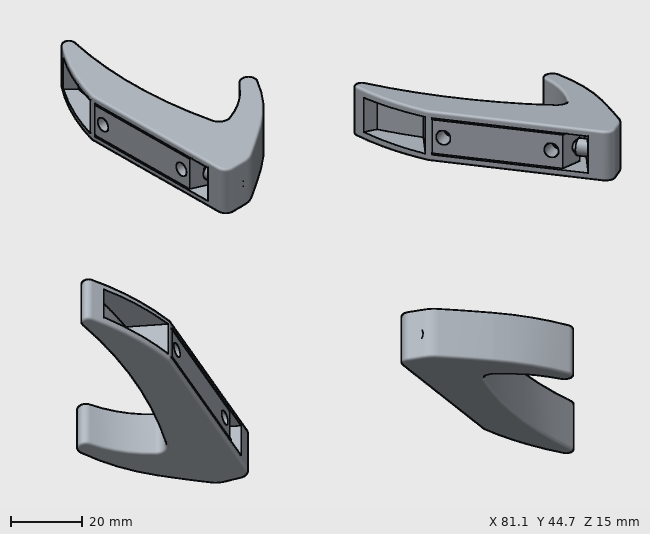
import cadquery as cq
import math


thickness = 15.0
edge_round = 0.8
upper_circle = (-1.1, 137.0, 127.1)
under_circle = (28.6, 6.95, 35.6)
outer_circle = (28.2, -13.0, 59.8)
belly_circle = (30.4, 76.95, 76.9)
outer_end_x = 65.1
back_corner = (78.6, 22.8)
end_corner = (81.7, 13.2)
mount_corner = (28.7, 0.0)
notch_radius = 3.15
tip_radius = 2.6
nose_radius = 2.1
back_radius = 7.5
end_radius = 3.0
mount_corner_radius = 2.5

mount_angle = 14.0

wall = 2.0
opening_height = 11.0
draft_angle = 2.0
end_lean = 35.0
arm_left_lean = 31.0
arm_left_mouth = (4.7, 4.45)
arm_right_mouth = (27.9, 0.1)
mount_left_u = 1.3
mount_right_u = 47.3
mount_cavity_top = 29.7
mouth_overrun = 4.85

plate_length = 38.5
plate_depth = 7.0
plate_height = 10.0
plate_hole_diameter = 4.2
plate_hole_spacing = 31.9

screw_diameter = 5.0
screw_v = 5.1
screw_tip_u = 40.2
screw_end_u = 53.7

half_thickness = thickness / 2
screw_radius = screw_diameter / 2
plate_right_u = mount_left_u + plate_length
mount_cos = math.cos(math.radians(mount_angle))
mount_sin = math.sin(math.radians(mount_angle))
u_direction = cq.Vector(mount_cos, mount_sin, 0)
v_direction = cq.Vector(-mount_sin, mount_cos, 0)


def resized(circle, growth):
    x, y, radius = circle
    return (x, y, radius + growth)


def crossing(first, second):
    """The crossing of two circles to the left of the line from the first centre to the second."""
    (x1, y1, r1), (x2, y2, r2) = first, second
    gap = math.hypot(x2 - x1, y2 - y1)
    along = (r1**2 - r2**2 + gap**2) / (2 * gap)
    aside = math.sqrt(r1**2 - along**2)
    step_x, step_y = (x2 - x1) / gap, (y2 - y1) / gap
    return (x1 + along * step_x - aside * step_y, y1 + along * step_y + aside * step_x)


def towards(circle, point):
    """The point of the circle on the ray from its centre through `point`."""
    x, y, radius = circle
    scale = radius / math.hypot(point[0] - x, point[1] - y)
    return (x + (point[0] - x) * scale, y + (point[1] - y) * scale)


def between(circle, start, end):
    """The middle of the circle's short arc from start to end."""
    return towards(circle, ((start[0] + end[0]) / 2, (start[1] + end[1]) / 2))


def leaning_to_circle(start, lean, circle):
    """Where a line from `start`, leaning `lean` degrees from Y towards X, enters the circle."""
    step_x, step_y = math.sin(math.radians(lean)), math.cos(math.radians(lean))
    to_x, to_y = circle[0] - start[0], circle[1] - start[1]
    along = to_x * step_x + to_y * step_y
    aside = to_x * step_y - to_y * step_x
    reach = along - math.sqrt(circle[2] ** 2 - aside**2)
    return (start[0] + reach * step_x, start[1] + reach * step_y)


def mount_point(u, v):
    """The X, Y point at (u, v) of the mounting frame."""
    return (mount_corner[0] + u * mount_cos - v * mount_sin, mount_corner[1] + u * mount_sin + v * mount_cos)


def mount_plane(u, v, normal, x_direction):
    return cq.Plane(origin=(*mount_point(u, v), 0), xDir=x_direction, normal=normal)


def at_hook_bottom():
    return cq.Workplane("XY", origin=(0, 0, -half_thickness))


notch_centre = crossing(resized(upper_circle, -notch_radius), resized(under_circle, -notch_radius))


def hook_blank():
    nose = crossing(belly_circle, upper_circle)
    notch = crossing(upper_circle, under_circle)
    tip_centre = crossing(resized(under_circle, tip_radius), resized(outer_circle, -tip_radius))
    under_end = towards(under_circle, tip_centre)
    tip_middle = (tip_centre[0] - tip_radius, tip_centre[1])
    tip_end = towards(outer_circle, tip_centre)
    outer_x, outer_y, outer_radius = outer_circle
    outer_end = (outer_end_x, outer_y + math.sqrt(outer_radius**2 - (outer_end_x - outer_x) ** 2))
    blank = (
        at_hook_bottom()
        .moveTo(*nose)
        .threePointArc(between(upper_circle, nose, notch), notch)
        .threePointArc(between(under_circle, notch, under_end), under_end)
        .threePointArc(tip_middle, tip_end)
        .threePointArc(between(outer_circle, tip_end, outer_end), outer_end)
        .tangentArcPoint(back_corner, relative=False)
        .lineTo(*end_corner)
        .lineTo(*mount_corner)
        .threePointArc(between(belly_circle, mount_corner, nose), nose)
        .close()
        .extrude(thickness)
    )
    rounded_corners = [
        (nose, nose_radius),
        (notch, notch_radius),
        (back_corner, back_radius),
        (end_corner, end_radius),
        (mount_corner, mount_corner_radius),
    ]
    for corner, radius in rounded_corners:
        blank = blank.edges(cq.selectors.NearestToPointSelector((*corner, 0))).fillet(radius)
    return blank.faces("<Z or >Z").edges().fillet(edge_round)


def draft_wedge():
    """A bar along u whose floor and ceiling close in towards the back of the hook."""
    start_u, end_u = -48.55, 64.7
    front_v, back_v = -mouth_overrun, 40.45
    taper = math.tan(math.radians(draft_angle))
    front_half = opening_height / 2 - front_v * taper
    back_half = opening_height / 2 - back_v * taper
    return (
        cq.Workplane(mount_plane(start_u, 0, u_direction, v_direction))
        .polyline([(front_v, -front_half), (back_v, -back_half), (back_v, back_half), (front_v, front_half)])
        .close()
        .extrude(end_u - start_u)
    )


def arm_cavity():
    back_circle = resized(upper_circle, wall)
    back_left = leaning_to_circle(arm_left_mouth, arm_left_lean, back_circle)
    back_right = leaning_to_circle(arm_right_mouth, -end_lean, back_circle)
    left_x, left_y = arm_left_mouth
    right_x, right_y = arm_right_mouth
    return (
        at_hook_bottom()
        .moveTo(left_x, left_y - mouth_overrun)
        .lineTo(*arm_left_mouth)
        .lineTo(*back_left)
        .threePointArc(between(back_circle, back_left, back_right), back_right)
        .lineTo(*arm_right_mouth)
        .lineTo(right_x, right_y - mouth_overrun)
        .close()
        .extrude(thickness)
        .intersect(draft_wedge())
    )


def mount_cavity():
    """Its back follows the lower arm and the notch, and ends at the leaning right wall."""
    back_circle = resized(upper_circle, wall)
    root_circle = (*notch_centre, notch_radius + wall)
    left_mouth = mount_point(mount_left_u, 0)
    right_mouth = mount_point(mount_right_u, 0)
    back_left = leaning_to_circle(left_mouth, -end_lean, back_circle)
    back_right = towards(back_circle, notch_centre)
    rise = mount_cavity_top - notch_centre[1]
    root_end = (notch_centre[0] + math.sqrt(root_circle[2] ** 2 - rise**2), mount_cavity_top)
    wall_run = (mount_cavity_top - right_mouth[1]) * math.tan(math.radians(end_lean))
    return (
        at_hook_bottom()
        .moveTo(*mount_point(mount_left_u, -mouth_overrun))
        .lineTo(*left_mouth)
        .lineTo(*back_left)
        .threePointArc(between(back_circle, back_left, back_right), back_right)
        .threePointArc(between(root_circle, back_right, root_end), root_end)
        .lineTo(right_mouth[0] - wall_run, mount_cavity_top)
        .lineTo(*right_mouth)
        .lineTo(*mount_point(mount_right_u, -mouth_overrun))
        .close()
        .extrude(thickness)
        .intersect(draft_wedge())
    )


def set_screw():
    length = screw_end_u - screw_tip_u
    profile = [(0, 0), (screw_radius, screw_radius), (screw_radius, length), (0, length)]
    return (
        cq.Workplane(mount_plane(screw_tip_u, screw_v, cq.Vector(0, 0, 1), v_direction * -1))
        .polyline(profile)
        .close()
        .revolve(360, (0, 0), (0, 1))
    )


def mounting_plate():
    end_run = plate_depth * math.tan(math.radians(end_lean - mount_angle))
    blank = (
        cq.Workplane(mount_plane(0, 0, cq.Vector(0, 0, 1), u_direction))
        .polyline([
            (mount_left_u, 0),
            (plate_right_u, 0),
            (plate_right_u + end_run, plate_depth),
            (mount_left_u - end_run, plate_depth),
        ])
        .close()
        .extrude(plate_height / 2, both=True)
    )
    middle_u = (mount_left_u + plate_right_u) / 2
    holes = (
        cq.Workplane(mount_plane(middle_u, 0, v_direction, u_direction))
        .pushPoints([(-plate_hole_spacing / 2, 0), (plate_hole_spacing / 2, 0)])
        .circle(plate_hole_diameter / 2)
        .extrude(plate_depth)
    )
    return blank.cut(holes)


screw = set_screw()
hook = hook_blank().cut(arm_cavity()).cut(mount_cavity()).cut(screw)
plate = mounting_plate().cut(screw)

result = cq.Compound.makeCompound([hook.val(), plate.val(), screw.val()])